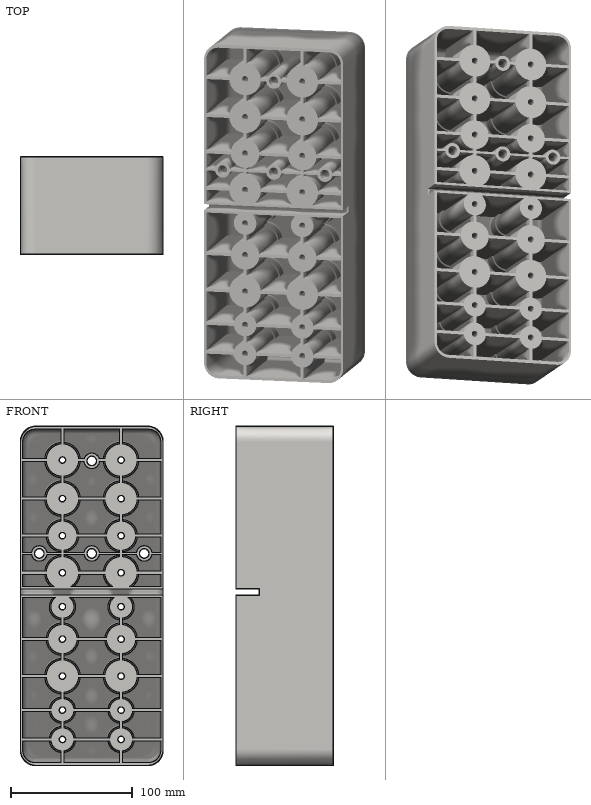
import cadquery as cq
import math

WIDTH = 117.475
DEPTH = 80.44
HEIGHT = 279.4
CORNER_RADIUS = 12.7
BACK_CHAMFER = 0.43
SIDE_WALL = 1.905
END_WALL = 2.54
BACK_THICKNESS = 2.54
FLOOR_FILLET = 3.81

SLOT_CENTER_Z = 3.175
SLOT_HEIGHT = 5.08
SLOT_DEPTH = 19.05
SLOT_WALL = SIDE_WALL
DIVIDER_HEIGHT = SLOT_HEIGHT + 2 * SLOT_WALL

COLUMN_X = 24.13
COLUMNS = (-COLUMN_X, COLUMN_X)
LARGE_BOSS = 26.67
MEDIUM_BOSS = 24.13
SMALL_BOSS = 19.05
BOSS_HOLE = 5.08
BOSS_STEP = 1.27
BOSS_BASE_LENGTH = 12.7
BOSS_FILLET = 1.0
BOSS_ROWS = [
    (111.76, LARGE_BOSS),
    (80.01, LARGE_BOSS),
    (49.53, MEDIUM_BOSS),
    (19.05, LARGE_BOSS),
    (-8.89, SMALL_BOSS),
    (-35.56, MEDIUM_BOSS),
    (-66.04, LARGE_BOSS),
    (-93.98, SMALL_BOSS),
    (-118.11, SMALL_BOSS),
]

SCREW_SLEEVE = 12.7
SCREW_HOLE = 7.62
SCREW_SIDE_X = 43.18
SCREW_ROW_Z = 34.925
SCREW_TOP_Z = 111.125
SCREW_POINTS = [
    (0, SCREW_TOP_Z),
    (-SCREW_SIDE_X, SCREW_ROW_Z),
    (0, SCREW_ROW_Z),
    (SCREW_SIDE_X, SCREW_ROW_Z),
]

RIB = 2.54
SCREW_RIB = SIDE_WALL
UNRIBBED_ROW = 4

FRONT_Y = -DEPTH / 2
BACK_Y = DEPTH / 2
FLOOR_Y = BACK_Y - BACK_THICKNESS
CAVITY_DEPTH = FLOOR_Y - FRONT_Y
INNER_WIDTH = WIDTH - 2 * SIDE_WALL
INNER_HEIGHT = HEIGHT - 2 * END_WALL


def block(width, height, length, x=0, z=0):
    """Block running back from the front plane, centred on (x, z)."""
    return cq.Workplane("XY").box(width, length, height).translate((x, FRONT_Y + length / 2, z))


def rod(diameter, length, x, z):
    """Cylinder along Y running back from the front plane."""
    plane = cq.Workplane("XZ", origin=(0, FRONT_Y, 0))
    return plane.center(x, z).circle(diameter / 2).extrude(-length)


def make_shell():
    outer = block(WIDTH, HEIGHT, DEPTH).edges("|Y").fillet(CORNER_RADIUS)
    outer = outer.faces(">Y").edges().chamfer(BACK_CHAMFER)
    cavity = block(INNER_WIDTH, INNER_HEIGHT, CAVITY_DEPTH)
    cavity = cavity.edges("|Y").fillet(CORNER_RADIUS - END_WALL)
    cavity = cavity.faces(">Y").edges().fillet(FLOOR_FILLET)
    return outer.cut(cavity)


def make_boss(x, z, diameter):
    """Boss with a wider base that flares into the floor."""
    radius = diameter / 2
    base_radius = radius + BOSS_STEP
    base_start = CAVITY_DEPTH - BOSS_BASE_LENGTH
    flare_radius = base_radius + BOSS_FILLET
    flare_start = CAVITY_DEPTH - BOSS_FILLET
    flare_end = (flare_radius, CAVITY_DEPTH)
    arc_offset = BOSS_FILLET * math.sqrt(0.5)
    flare_mid = (flare_radius - arc_offset, flare_start + arc_offset)
    profile = (
        cq.Workplane("XY")
        .lineTo(radius, 0)
        .lineTo(radius, base_start)
        .lineTo(base_radius, base_start)
        .lineTo(base_radius, flare_start)
        .threePointArc(flare_mid, flare_end)
        .lineTo(0, CAVITY_DEPTH)
        .close()
    )
    return profile.revolve(360, (0, 0, 0), (0, 1, 0)).translate((x, FRONT_Y, z))


def make_ribs():
    """Cross ribs through the boss rows and the screw row, and one upright rib per column."""
    ribs = block(INNER_WIDTH, SCREW_RIB, CAVITY_DEPTH, z=SCREW_ROW_Z)
    for row, (z, _) in enumerate(BOSS_ROWS):
        if row != UNRIBBED_ROW:
            ribs = ribs.union(block(INNER_WIDTH, RIB, CAVITY_DEPTH, z=z))
    for x in COLUMNS:
        ribs = ribs.union(block(RIB, INNER_HEIGHT, CAVITY_DEPTH, x=x))
    return ribs


def add_bosses(body):
    for x in COLUMNS:
        for z, diameter in BOSS_ROWS:
            body = body.union(make_boss(x, z, diameter))
    for x, z in SCREW_POINTS:
        body = body.union(rod(SCREW_SLEEVE, CAVITY_DEPTH, x, z))
    return body


def cut_holes(body):
    """Through holes of the bosses and of the screw sleeves."""
    for x in COLUMNS:
        for z, _ in BOSS_ROWS:
            body = body.cut(rod(BOSS_HOLE, DEPTH, x, z))
    for x, z in SCREW_POINTS:
        body = body.cut(rod(SCREW_HOLE, DEPTH, x, z))
    return body


divider = block(INNER_WIDTH, DIVIDER_HEIGHT, CAVITY_DEPTH, z=SLOT_CENTER_Z)
slot = block(WIDTH, SLOT_HEIGHT, SLOT_DEPTH, z=SLOT_CENTER_Z)

housing = make_shell().union(divider).union(make_ribs())
result = cut_holes(add_bosses(housing)).cut(slot)